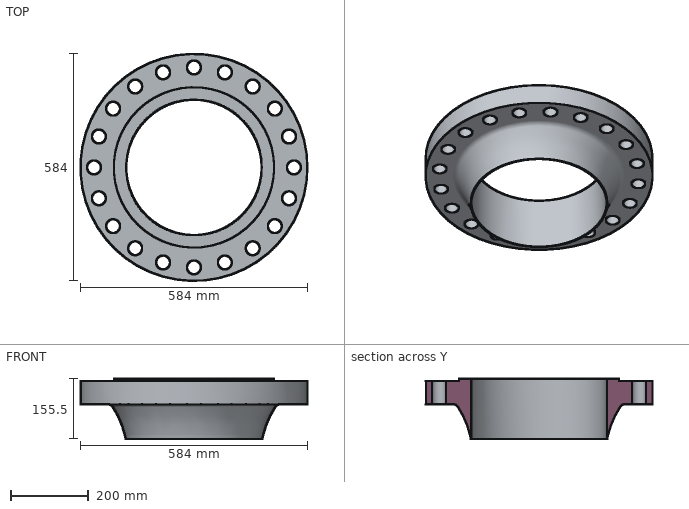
import cadquery as cq

flange_diameter = 584.0
flange_thickness = 60.0
face_diameter = 412.5
total_height = 155.5

flange_bottom = 89.5
fillet_outer_radius = 219.5
hub_top_radius = 209.0
hub_top_height = 82.5
hub_middle_radius = 190.0
hub_middle_height = 46.0
hub_lower_radius = 178.0
lip_height = 10.0
lip_bottom_radius = 176.0

bore_diameter = 347.5
bolt_circle_diameter = 514.0
bolt_hole_diameter = 35.0
bolt_count = 20

flange_radius = flange_diameter / 2
face_radius = face_diameter / 2
bore_radius = bore_diameter / 2
flange_top = flange_bottom + flange_thickness


def make_body():
    """Revolve the half section, drawn as (radius, height), about Z."""
    section = (
        cq.Workplane("XZ")
        .moveTo(bore_radius, 0)
        .lineTo(lip_bottom_radius, 0)
        .lineTo(hub_lower_radius, lip_height)
        .threePointArc((hub_middle_radius, hub_middle_height), (hub_top_radius, hub_top_height))
        .tangentArcPoint((fillet_outer_radius, flange_bottom), relative=False)
        .lineTo(flange_radius, flange_bottom)
        .lineTo(flange_radius, flange_top)
        .lineTo(face_radius, flange_top)
        .lineTo(face_radius, total_height)
        .lineTo(bore_radius, total_height)
        .close()
    )
    return section.revolve(360, (0, 0, 0), (0, 1, 0))


def make_bolt_holes():
    """Ring of bolt hole cutters through the flange, the first one on +X."""
    return (
        cq.Workplane("XY")
        .workplane(offset=flange_bottom)
        .polarArray(bolt_circle_diameter / 2, 0, 360, bolt_count)
        .circle(bolt_hole_diameter / 2)
        .extrude(flange_thickness)
    )


result = make_body().cut(make_bolt_holes())